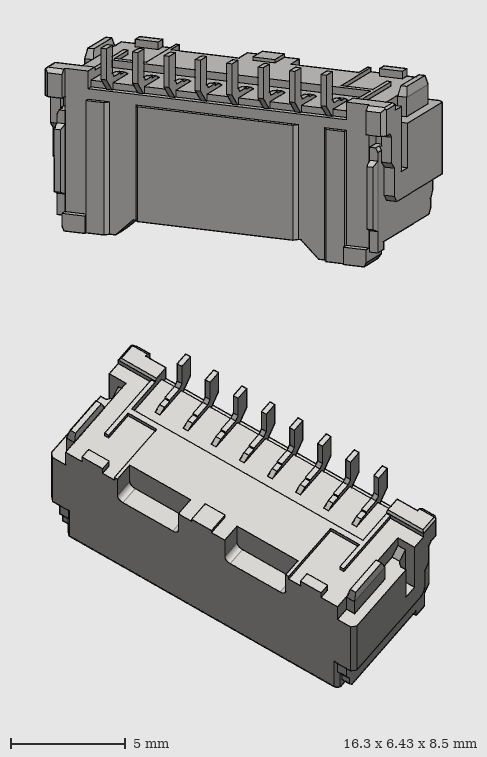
import cadquery as cq


WIDTH = 16.3
DEPTH = 6.43
HEIGHT = 8.5

CORE_HALF = 7.26
FRONT_Y = 0.37
CORE_BOTTOM = 0.79
CORE_TOP = 6.93
DECK_TOP = 7.12
CORE_CORNER_CHAMFER = 0.2
CORE_BOTTOM_CHAMFER = 0.1

DECK_HALF = 4.65
STRIP_BACK_Y = 3.24
RIB_OUTER = 6.38
RIB_BACK_Y = 4.71

RECESS_HALF = 6.17
RECESS_BACK_Y = 2.96
RECESS_FLOOR = 6.78
SILL_BACK_Y = 0.7
SILL_TOP = 6.48

PAD_TOP = 7.27
CENTRE_PAD_HALF = 0.53
CENTRE_PAD_LENGTH = 1.03
END_PAD_INNER = 5.28
END_PAD_LENGTH = 0.5

NOTCH_INNER = 1.24
NOTCH_OUTER = 4.49
NOTCH_LENGTH = 0.93
NOTCH_DEPTH = 1.5
NOTCH_FILLET = 0.29

LIP_BACK_Y = 1.72
LIP_CHAMFER = 0.2
LIP_RAMP = 0.32
LIP_RAMP_BOTTOM = 0.62
LIP_END_CHAMFER = 0.1
MOUTH_HALF_TOP = 4.0
MOUTH_HALF_BOTTOM = 4.85

PANEL_Y = 0.15
PANEL_TOP = 6.0
PANEL_SLOPE = 0.17
CENTRE_PANEL_HALF = 3.88
SIDE_PANEL_INNER = 5.13
FOOT_Y = 0.04

INNER_WALL_HALF = 7.66
INNER_WALL_FRONT_Y = 0.4
OUTER_HALF = WIDTH / 2
SIDE_TOP = 6.0
OUTER_BOTTOM = 2.75
INNER_BOTTOM = 0.95
OUTER_CHAMFER = 0.2
OUTER_LOWER_FRONT_Y = 1.09
OUTER_UPPER_FRONT_Y = 0.79
OUTER_STEP_BOTTOM = 4.32
OUTER_STEP_RISE = 0.3
OUTER_FOOT_BEVEL = (0.24, 0.29)
OUTER_HEAD_BEVEL = 0.2
INNER_FOOT_BACK_Y = 1.04
INNER_FOOT_BOTTOM = 0.6
INNER_BACK_Y = 6.32
INNER_BACK_BEVEL = (0.23, 0.35)
INNER_BACK_FLAT = (1.18, 1.6)
INNER_BOTTOM_BEVEL = 0.18
SHOULDER_Z = 5.35
SHOULDER_CHAMFER_WIDTH = 0.1
SHOULDER_CHAMFER_DROP = 0.2
SLOT_FRONT_Y = 1.86
SLOT_BACK_Y = 2.51
SLOT_FLOOR = 3.98
SLOT_CORNER_CHAMFER = 0.2
WEB_RISE = 0.37
WEB_BACK_Y = 2.3

BLOCK_TOP = 7.28
BLOCK_BACK_Y = 1.18
BLOCK_FRONT_CHAMFER = 0.2
BLOCK_EDGE_CHAMFER = 0.1

FITTING_INNER = 7.26
FRONT_FITTING_OUTER = 7.66
FRONT_FITTING_Z = (1.57, 4.76)
TOP_FITTING_OUTER = 7.69
TOP_FITTING_Y = (3.44, 5.75)
TOP_FITTING_SHOULDER = 6.88
TOP_FITTING_TOP = 7.32
FRONT_FITTING_SIDE_TAPER = 0.05
TOP_FITTING_SIDE_TAPER = 0.07
FITTING_END_TAPER = 0.18

PIN_COUNT = 8
PIN_PITCH = 1.5
PIN_WIDTH = 0.26
PIN_THICKNESS = 0.65
PIN_ROOT_Z = 6.4
PIN_ARM_TOP = 7.04
PIN_ARM_BACK_Y = 1.58
PIN_TAIL_TOP = 6.95
PIN_TAIL_BACK_Y = 1.97
PIN_BACK_Y = 2.32
PIN_BEND = 0.19
PIN_HEEL_Z = 7.09

OVERLAP = 0.3


def block(x_range, y_range, z_range):
    """Axis-aligned box given by its extents."""
    size = [high - low for low, high in (x_range, y_range, z_range)]
    corner = (x_range[0], y_range[0], z_range[0])
    return cq.Workplane("XY").box(*size, centered=False).translate(corner)


def side_prism(points, x_start, x_end):
    """Prism along X from an outline of (Y, Z) points."""
    outline = cq.Workplane("YZ").polyline(points).close()
    return outline.extrude(x_end - x_start).translate((x_start, 0, 0))


def front_prism(points, y_start, y_end):
    """Prism along Y from an outline of (X, Z) points."""
    outline = cq.Workplane("XZ").polyline(points).close()
    return outline.extrude(y_start - y_end).translate((0, y_start, 0))


def top_prism(points, z_start, z_end):
    """Prism along Z from an outline of (X, Y) points."""
    outline = cq.Workplane("XY").workplane(offset=z_start).polyline(points).close()
    return outline.extrude(z_end - z_start)


def both_ends(shape):
    """The +X end shape together with its mirror image at -X."""
    return shape.union(shape.mirror("YZ"))


def make_core():
    core = block((-CORE_HALF, CORE_HALF), (FRONT_Y, DEPTH), (CORE_BOTTOM, SIDE_TOP))
    core = core.edges("|Z and >Y").chamfer(CORE_CORNER_CHAMFER)
    core = core.faces("<Z").edges(">Y").chamfer(CORE_BOTTOM_CHAMFER)
    upper = block((-CORE_HALF, CORE_HALF), (FRONT_Y, DEPTH), (SIDE_TOP, CORE_TOP))
    return core.union(upper)


def make_deck():
    z_range = (CORE_TOP - OVERLAP, DECK_TOP)
    deck = block((-DECK_HALF, DECK_HALF), (RECESS_BACK_Y, DEPTH), z_range)
    deck = deck.union(block((-RIB_OUTER, RIB_OUTER), (RECESS_BACK_Y, STRIP_BACK_Y), z_range))
    ribs = both_ends(block((RECESS_HALF, RIB_OUTER), (FRONT_Y, RIB_BACK_Y), z_range))
    return deck.union(ribs)


def make_recess():
    x_range = (-RECESS_HALF, RECESS_HALF)
    recess = block(x_range, (0, RECESS_BACK_Y), (RECESS_FLOOR, HEIGHT))
    return recess.union(block(x_range, (0, SILL_BACK_Y), (SILL_TOP, HEIGHT)))


def make_pads():
    z_range = (CORE_TOP - OVERLAP, PAD_TOP)
    centre = block((-CENTRE_PAD_HALF, CENTRE_PAD_HALF), (DEPTH - CENTRE_PAD_LENGTH, DEPTH), z_range)
    ends = both_ends(block((END_PAD_INNER, RIB_OUTER), (DEPTH - END_PAD_LENGTH, DEPTH), z_range))
    return centre.union(ends)


def make_notches():
    z_range = (DECK_TOP - NOTCH_DEPTH, DECK_TOP)
    notch = block((NOTCH_INNER, NOTCH_OUTER), (DEPTH - NOTCH_LENGTH, DEPTH), z_range)
    return both_ends(notch.edges("|Y and <Z").fillet(NOTCH_FILLET))


def make_lip():
    ramp_top = LIP_RAMP_BOTTOM + LIP_RAMP
    lip = side_prism(
        [
            (FRONT_Y, 0),
            (LIP_BACK_Y - LIP_CHAMFER, 0),
            (LIP_BACK_Y, LIP_CHAMFER),
            (LIP_BACK_Y, LIP_RAMP_BOTTOM),
            (LIP_BACK_Y + LIP_RAMP, ramp_top),
            (FRONT_Y, ramp_top),
        ],
        -CORE_HALF,
        CORE_HALF,
    )
    feet = both_ends(block((RECESS_HALF, CORE_HALF), (FOOT_Y, FRONT_Y), (0, CORE_BOTTOM)))
    return lip.union(feet)


def make_lip_end_chamfers():
    corner = front_prism(
        [
            (CORE_HALF, 0),
            (CORE_HALF - LIP_END_CHAMFER, 0),
            (CORE_HALF, LIP_CHAMFER),
        ],
        0,
        LIP_BACK_Y,
    )
    return both_ends(corner)


def make_mouth():
    """Trapezoidal opening between the two halves of the lip."""
    return front_prism(
        [
            (-MOUTH_HALF_BOTTOM, 0),
            (-MOUTH_HALF_TOP, CORE_BOTTOM),
            (MOUTH_HALF_TOP, CORE_BOTTOM),
            (MOUTH_HALF_BOTTOM, 0),
        ],
        0,
        LIP_BACK_Y + LIP_RAMP,
    )


def make_panels():
    """Raised panels on the front wall with sloping edges."""
    centre = top_prism(
        [
            (-CENTRE_PANEL_HALF, FRONT_Y),
            (-CENTRE_PANEL_HALF + PANEL_SLOPE, PANEL_Y),
            (CENTRE_PANEL_HALF - PANEL_SLOPE, PANEL_Y),
            (CENTRE_PANEL_HALF, FRONT_Y),
        ],
        CORE_BOTTOM,
        PANEL_TOP,
    )
    side = top_prism(
        [
            (SIDE_PANEL_INNER, FRONT_Y),
            (SIDE_PANEL_INNER + PANEL_SLOPE, PANEL_Y),
            (RECESS_HALF, PANEL_Y),
            (RECESS_HALF, FRONT_Y),
        ],
        0,
        PANEL_TOP,
    )
    return centre.union(both_ends(side))


def make_inner_wall():
    """Inner layer with a small foot at the front and a relieved lower back corner."""
    bevel_y, bevel_z = INNER_BACK_BEVEL
    flat_low, flat_high = INNER_BACK_FLAT
    flat_y = INNER_BACK_Y - bevel_y
    wall = side_prism(
        [
            (INNER_WALL_FRONT_Y, INNER_FOOT_BOTTOM),
            (INNER_FOOT_BACK_Y, INNER_FOOT_BOTTOM),
            (INNER_FOOT_BACK_Y, INNER_BOTTOM),
            (flat_y - INNER_BOTTOM_BEVEL, INNER_BOTTOM),
            (flat_y, flat_low),
            (flat_y, flat_high),
            (INNER_BACK_Y, flat_high + bevel_z),
            (INNER_BACK_Y, OUTER_BOTTOM),
            (DEPTH, OUTER_BOTTOM),
            (DEPTH, SIDE_TOP),
            (WEB_BACK_Y, SIDE_TOP),
            (SLOT_FRONT_Y, SIDE_TOP + WEB_RISE),
            (SLOT_FRONT_Y, CORE_TOP),
            (BLOCK_BACK_Y, CORE_TOP),
            (OUTER_LOWER_FRONT_Y, SIDE_TOP),
            (OUTER_LOWER_FRONT_Y, SHOULDER_Z),
            (INNER_WALL_FRONT_Y, SHOULDER_Z),
        ],
        CORE_HALF - OVERLAP,
        INNER_WALL_HALF,
    )
    shoulder_edge = front_prism(
        [
            (INNER_WALL_HALF, SHOULDER_Z),
            (INNER_WALL_HALF, SHOULDER_Z - SHOULDER_CHAMFER_DROP),
            (INNER_WALL_HALF - SHOULDER_CHAMFER_WIDTH, SHOULDER_Z),
        ],
        FRONT_Y,
        OUTER_UPPER_FRONT_Y,
    )
    return both_ends(wall.cut(shoulder_edge))


def make_outer_wall():
    """Outer layer with a stepped front edge and a vertical slot in front of its top."""
    bevel_y, bevel_z = OUTER_FOOT_BEVEL
    wall = side_prism(
        [
            (DEPTH, OUTER_BOTTOM),
            (OUTER_LOWER_FRONT_Y + bevel_y, OUTER_BOTTOM),
            (OUTER_LOWER_FRONT_Y, OUTER_BOTTOM + bevel_z),
            (OUTER_LOWER_FRONT_Y, OUTER_STEP_BOTTOM),
            (OUTER_UPPER_FRONT_Y, OUTER_STEP_BOTTOM + OUTER_STEP_RISE),
            (OUTER_UPPER_FRONT_Y, SIDE_TOP - OUTER_HEAD_BEVEL),
            (OUTER_UPPER_FRONT_Y - OUTER_HEAD_BEVEL, SIDE_TOP),
            (BLOCK_BACK_Y, CORE_TOP),
            (SLOT_FRONT_Y, CORE_TOP),
            (SLOT_FRONT_Y, SIDE_TOP),
            (DEPTH, SIDE_TOP),
        ],
        INNER_WALL_HALF,
        OUTER_HALF,
    )
    wall = wall.edges("|Z and >Y and >X").chamfer(OUTER_CHAMFER)
    slot = top_prism(
        [
            (INNER_WALL_HALF, SLOT_FRONT_Y),
            (OUTER_HALF, SLOT_FRONT_Y),
            (OUTER_HALF, SLOT_BACK_Y),
            (INNER_WALL_HALF + SLOT_CORNER_CHAMFER, SLOT_BACK_Y),
            (INNER_WALL_HALF, SLOT_BACK_Y - SLOT_CORNER_CHAMFER),
        ],
        SLOT_FLOOR,
        CORE_TOP,
    )
    return both_ends(wall.cut(slot))


def make_corner_block():
    """Upper front corner: a set-back post and an outer ear with chamfered edges."""
    x_range = (CORE_HALF, OUTER_HALF)
    ear = block(x_range, (FOOT_Y, BLOCK_BACK_Y), (SIDE_TOP, BLOCK_TOP))
    ear = ear.edges("|X and >Z and <Y").chamfer(BLOCK_FRONT_CHAMFER)
    corner = top_prism(
        [
            (OUTER_HALF - OUTER_CHAMFER, FOOT_Y),
            (OUTER_HALF, FOOT_Y),
            (OUTER_HALF, FOOT_Y + OUTER_CHAMFER),
        ],
        SIDE_TOP,
        BLOCK_TOP,
    )
    top_edge = front_prism(
        [
            (OUTER_HALF - BLOCK_EDGE_CHAMFER, BLOCK_TOP),
            (OUTER_HALF, BLOCK_TOP),
            (OUTER_HALF, BLOCK_TOP - BLOCK_EDGE_CHAMFER),
        ],
        FOOT_Y,
        BLOCK_BACK_Y,
    )
    post = block((RECESS_HALF, CORE_HALF), (FRONT_Y, BLOCK_BACK_Y), (SIDE_TOP, BLOCK_TOP))
    back_edge = side_prism(
        [
            (BLOCK_BACK_Y - BLOCK_EDGE_CHAMFER, BLOCK_TOP),
            (BLOCK_BACK_Y, BLOCK_TOP),
            (BLOCK_BACK_Y, BLOCK_TOP - BLOCK_EDGE_CHAMFER),
        ],
        RECESS_HALF,
        OUTER_HALF,
    )
    return both_ends(ear.cut(corner).cut(top_edge).union(post).cut(back_edge))


def tapered_pad(base_plane, width, length, height, side_taper):
    """Pad on the base plane that narrows towards its free face."""
    tip_width = width - 2 * side_taper
    tip_length = length - 2 * FITTING_END_TAPER
    base = base_plane.rect(width, length)
    return base.workplane(offset=height).rect(tip_width, tip_length).loft(ruled=True)


def make_front_fitting():
    """Soldering tab that reaches from the side wall to the soldering plane."""
    z_low, z_high = FRONT_FITTING_Z
    centre = ((FITTING_INNER + FRONT_FITTING_OUTER) / 2, INNER_WALL_FRONT_Y, (z_low + z_high) / 2)
    plane = cq.Workplane("XZ", origin=centre)
    width = FRONT_FITTING_OUTER - FITTING_INNER
    return both_ends(tapered_pad(plane, width, z_high - z_low, INNER_WALL_FRONT_Y, FRONT_FITTING_SIDE_TAPER))


def make_top_fitting():
    """Upright end of the fitting that stands on the side wall."""
    y_low, y_high = TOP_FITTING_Y
    x_range = (CORE_HALF, TOP_FITTING_OUTER)
    upright = block(x_range, TOP_FITTING_Y, (SIDE_TOP, TOP_FITTING_SHOULDER))
    centre = ((FITTING_INNER + TOP_FITTING_OUTER) / 2, (y_low + y_high) / 2, TOP_FITTING_SHOULDER)
    tip_height = TOP_FITTING_TOP - TOP_FITTING_SHOULDER
    plane = cq.Workplane("XY", origin=centre)
    width = TOP_FITTING_OUTER - FITTING_INNER
    tip = tapered_pad(plane, width, y_high - y_low, tip_height, TOP_FITTING_SIDE_TAPER)
    return both_ends(upright.union(tip))


def make_pin(x_centre):
    """Bent pin: a low arm on the recess floor and an upright leg at the soldering plane."""
    heel_depth = PIN_HEEL_Z - SILL_TOP
    outline = [
        (PIN_BACK_Y, PIN_ROOT_Z),
        (PIN_BACK_Y, RECESS_FLOOR),
        (PIN_TAIL_BACK_Y, PIN_TAIL_TOP),
        (PIN_ARM_BACK_Y, PIN_TAIL_TOP),
        (PIN_ARM_BACK_Y, PIN_ARM_TOP),
        (PIN_THICKNESS + PIN_BEND, PIN_ARM_TOP),
        (PIN_THICKNESS, PIN_ARM_TOP + PIN_BEND),
        (PIN_THICKNESS, HEIGHT),
        (0, HEIGHT),
        (0, PIN_HEEL_Z),
        (heel_depth, SILL_TOP),
        (heel_depth, PIN_ROOT_Z),
    ]
    return side_prism(outline, x_centre - PIN_WIDTH / 2, x_centre + PIN_WIDTH / 2)


housing = make_core().union(make_deck()).union(make_lip()).cut(make_mouth())
housing = housing.cut(make_lip_end_chamfers()).cut(make_recess())
housing = housing.union(make_pads()).cut(make_notches()).union(make_panels())
housing = housing.union(make_inner_wall()).union(make_outer_wall()).union(make_corner_block())
result = housing.union(make_front_fitting()).union(make_top_fitting())
for index in range(PIN_COUNT):
    result = result.union(make_pin((index - (PIN_COUNT - 1) / 2) * PIN_PITCH))